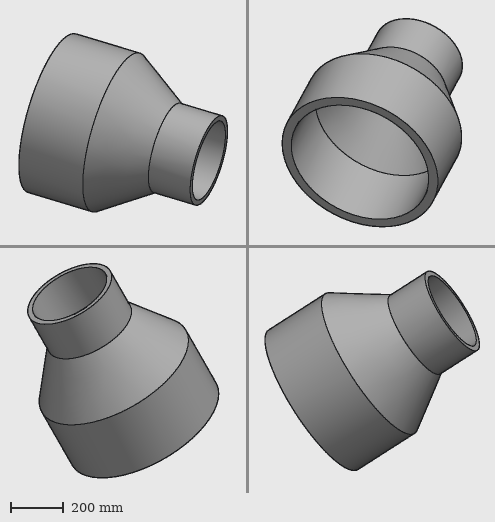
import cadquery as cq

total_length = 650.0
large_length = 265.0
small_length = 173.0
large_outer_diameter = 630.0
large_bore_diameter = 555.0
small_outer_diameter = 355.0
small_bore_diameter = 312.5

cone_start = large_length
cone_end = total_length - small_length


def reducer_body(large_diameter, small_diameter):
    """Solid of revolution: large cylinder, cone, small cylinder."""
    large_radius = large_diameter / 2
    small_radius = small_diameter / 2
    return (
        cq.Workplane("XY")
        .moveTo(0, 0)
        .lineTo(0, large_radius)
        .lineTo(cone_start, large_radius)
        .lineTo(cone_end, small_radius)
        .lineTo(total_length, small_radius)
        .lineTo(total_length, 0)
        .close()
        .revolve(360, (0, 0, 0), (1, 0, 0))
    )


outside = reducer_body(large_outer_diameter, small_outer_diameter)
bore = reducer_body(large_bore_diameter, small_bore_diameter)
result = outside.cut(bore)